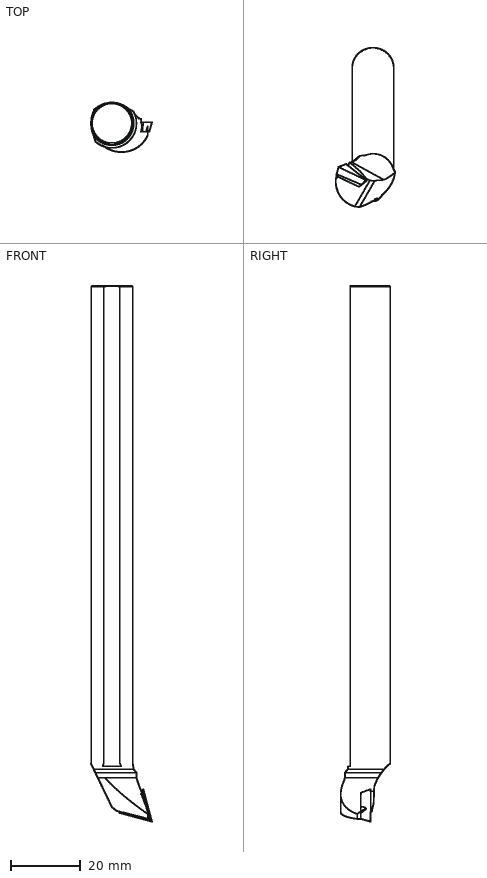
import cadquery as cq
import math

TOTAL_LENGTH = 153.6

SHANK_RADIUS = 6.0
SHANK_BOTTOM = 16.7
TOP_CHAMFER = 0.3
FLAT_DISTANCE = 5.5
FLAT_BOTTOM = 16.0

RING_RADIUS = 7.0
RING_TOP = 14.0
RING_BOTTOM = 12.6
NECK_RADIUS = 6.3
NECK_BOTTOM = 15.0
FLARE_RADIUS = 11.7
ENVELOPE_RADIUS = 8.3
ENVELOPE_CENTER_X = 2.8

BACK_TOP = (-6.1, 16.9)
BACK_HEEL = (0.0, 4.1)
UNDERSIDE_HEEL = (1.4, 3.0)
UNDERSIDE_NOSE = (10.3, 0.8)

RAKE_TOP = (SHANK_RADIUS, SHANK_BOTTOM)
RAKE_MIDDLE = (3.0, 13.5)
RAKE_FOOT = (1.4, 10.1)
RAKE_BEND = (1.2, 5.4)
RAKE_TIP = (0.0, 0.0)

TIP_X = 11.5
INSERT_EDGE = 9.7
INSERT_RAKE_Y = 0.3
INSERT_THICKNESS = 2.8
INSERT_CLEARANCE = 11.0
SIDE_EDGE_ANGLE = 105.0
CORNER_ANGLE = 60.0

REACH = 30.7


def shank_blank():
    """Round shank, chamfered at its free end, with one clamping flat on -Y."""
    length = TOTAL_LENGTH - SHANK_BOTTOM
    shank = cq.Workplane("XY").workplane(offset=SHANK_BOTTOM).circle(SHANK_RADIUS).extrude(length)
    return shank.faces(">Z").chamfer(TOP_CHAMFER)


def flat_cutter():
    return (
        cq.Workplane("XY")
        .workplane(offset=FLAT_BOTTOM)
        .center(0, -FLAT_DISTANCE - REACH / 2)
        .rect(REACH, REACH)
        .extrude(TOTAL_LENGTH - FLAT_BOTTOM)
    )


def flared_head():
    """Ringed neck and cone, trimmed to the envelope cylinder below the ring."""
    flare = (
        cq.Workplane("XZ")
        .polyline([
            (0, SHANK_BOTTOM),
            (SHANK_RADIUS, SHANK_BOTTOM),
            (NECK_RADIUS, NECK_BOTTOM),
            (RING_RADIUS, RING_TOP),
            (RING_RADIUS, RING_BOTTOM),
            (FLARE_RADIUS, 0),
            (0, 0),
        ])
        .close()
        .revolve(360, (0, 0, 0), (0, 1, 0))
    )
    envelope = (
        cq.Workplane("XY").center(ENVELOPE_CENTER_X, 0).circle(ENVELOPE_RADIUS).extrude(RING_TOP)
    )
    collar = cq.Workplane("XY").workplane(offset=RING_BOTTOM).circle(REACH).extrude(REACH)
    side_profile = (
        cq.Workplane("XZ")
        .polyline([
            BACK_TOP,
            BACK_HEEL,
            UNDERSIDE_HEEL,
            UNDERSIDE_NOSE,
            (UNDERSIDE_NOSE[0], BACK_TOP[1]),
        ])
        .close()
        .extrude(REACH, both=True)
    )
    return flare.intersect(envelope.union(collar)).intersect(side_profile)


def rake_cutter():
    """Everything on the +Y side of the recess, swept along X."""
    return (
        cq.Workplane("YZ")
        .moveTo(*RAKE_TOP)
        .threePointArc(RAKE_MIDDLE, RAKE_FOOT)
        .lineTo(*RAKE_BEND)
        .lineTo(*RAKE_TIP)
        .lineTo(REACH, RAKE_TIP[1])
        .lineTo(REACH, SHANK_BOTTOM)
        .close()
        .extrude(REACH, both=True)
    )


def insert_outline():
    """Insert triangle on the rake plane, ready to extrude to -Y."""
    corners = [(TIP_X, 0.0)]
    for angle in (SIDE_EDGE_ANGLE, SIDE_EDGE_ANGLE + CORNER_ANGLE):
        direction = math.radians(angle)
        corners.append((TIP_X + INSERT_EDGE * math.cos(direction), INSERT_EDGE * math.sin(direction)))
    return cq.Workplane("XZ", origin=(0, INSERT_RAKE_Y, 0)).polyline(corners).close()


def make_insert():
    return insert_outline().extrude(INSERT_THICKNESS, taper=INSERT_CLEARANCE)


def make_bar(insert):
    """Boring bar with an open seat that fits the insert."""
    seat_access = insert_outline().extrude(-REACH)
    head = flared_head().cut(rake_cutter()).cut(insert).cut(seat_access)
    return shank_blank().union(head).cut(flat_cutter())


insert = make_insert()
bar = make_bar(insert)

result = cq.Compound.makeCompound([bar.solids().val(), insert.val()])